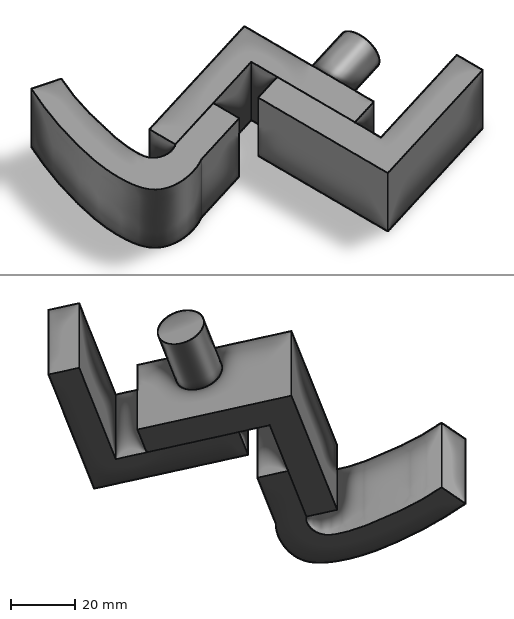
import cadquery as cq

HEIGHT = 30.0
THICKNESS = HEIGHT / 3
LEG_LENGTH = 5 * THICKNESS

PIN_DIAMETER = 15.0
PIN_LENGTH = 2 * THICKNESS
PIN_X = 3 * THICKNESS
PIN_Z = 2 * THICKNESS

OUTER_ANGLE_X = 2 * THICKNESS
HOOK_TOP_Y = -3 * THICKNESS
HOOK_BEND_Y = -LEG_LENGTH

HOOK_OUTER_CURVE = [(20.7, -54.7), (15.9, -67.5), (4.4, -70.8), (-13.5, -68.4), (-26.7, -64.2)]
HOOK_INNER_CURVE = [(10.5, -53.2), (7.6, -58.2), (1.3, -59.7), (-13.1, -57.4), (-22.2, -54.9)]
HOOK_OUTER_TIP = (-39.0, -58.9)
HOOK_INNER_TIP = (-33.8, -50.2)


def make_angle():
    """L-shaped plate with its outer corner at the origin and legs along +X and -Y."""
    return (
        cq.Workplane("XY")
        .moveTo(0, 0)
        .lineTo(LEG_LENGTH, 0)
        .lineTo(LEG_LENGTH, -THICKNESS)
        .lineTo(THICKNESS, -THICKNESS)
        .lineTo(THICKNESS, -LEG_LENGTH)
        .lineTo(0, -LEG_LENGTH)
        .close()
        .extrude(HEIGHT)
    )


def make_outer_angle():
    """The same angle turned half a turn, lying against the front of the middle angle's leg."""
    corner = (OUTER_ANGLE_X + LEG_LENGTH, -2 * THICKNESS, 0)
    return make_angle().rotate((0, 0, 0), (0, 0, 1), 180).translate(corner)


def make_hook():
    """Straight shank beside the middle angle, running into a free-form curved jaw."""
    inner_x = THICKNESS
    outer_x = inner_x + THICKNESS
    return (
        cq.Workplane("XY")
        .moveTo(inner_x, HOOK_TOP_Y)
        .lineTo(outer_x, HOOK_TOP_Y)
        .lineTo(outer_x, HOOK_BEND_Y)
        .spline(HOOK_OUTER_CURVE + [HOOK_OUTER_TIP], includeCurrent=True)
        .lineTo(*HOOK_INNER_TIP)
        .spline(HOOK_INNER_CURVE[::-1] + [(inner_x, HOOK_BEND_Y)], includeCurrent=True)
        .close()
        .extrude(HEIGHT)
    )


def make_pin():
    """Round pin standing on the rear face of the middle angle, pointing along +Y."""
    return (
        cq.Workplane("XZ")
        .center(PIN_X, PIN_Z)
        .circle(PIN_DIAMETER / 2)
        .extrude(-PIN_LENGTH)
    )


middle_angle = make_angle()
outer_angle = make_outer_angle()
hook = make_hook()
pin = make_pin()

result = cq.Compound.makeCompound([
    middle_angle.val(),
    outer_angle.val(),
    hook.val(),
    pin.val(),
])